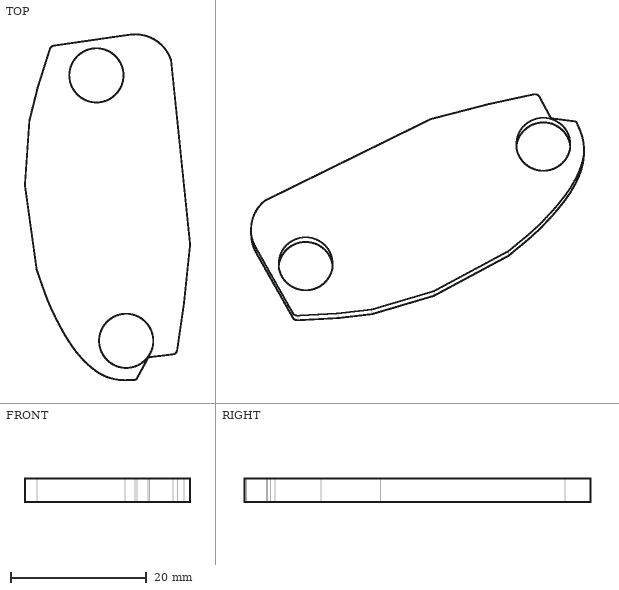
import cadquery as cq

thickness = 3.5
half_length = 25.5
hole_diameter = 7.95
upper_hole = (-1.65, 19.45)
lower_hole = (2.75, -19.7)

shoulder_radius = 0.8
heel_radius = 0.75
toe_radius = 0.4
notch_radius = 0.3

shoulder = (-8.35, 23.8)
crown_start = (3.3, 25.45)
crown_top = (4.25, half_length)
crown_middle = (7.45, 24.4)
crown_end = (9.4, 21.7)
right_bulge = (12.2, -5.5)
right_knee = (11.3, -14.3)
heel = (10.2, -21.65)
notch_corner = (6.0, -22.15)
toe = (4.25, -25.45)
toe_bottom = (2.55, -half_length)
belly_points = [(-2.35, -23.7), (-4.9, -21.0), (-7.55, -16.55)]
left_knee = (-10.45, -9.2)
left_bulge = (-12.2, 3.25)
left_upper = (-11.55, 12.75)
left_neck = (-10.3, 17.65)

belly_start_direction = (-1.0, 0.0)
belly_end_direction = (-0.34, 1.0)


def plate_blank():
    """Extrude the asymmetric outline to the full thickness, centred on Z."""
    return (
        cq.Workplane("XY")
        .workplane(offset=-thickness / 2)
        .moveTo(*shoulder)
        .lineTo(*crown_start)
        .lineTo(*crown_top)
        .threePointArc(crown_middle, crown_end)
        .lineTo(*right_bulge)
        .lineTo(*right_knee)
        .lineTo(*heel)
        .lineTo(*notch_corner)
        .lineTo(*toe)
        .lineTo(*toe_bottom)
        .spline(
            belly_points + [left_knee],
            tangents=[belly_start_direction, belly_end_direction],
            includeCurrent=True,
        )
        .lineTo(*left_bulge)
        .lineTo(*left_upper)
        .lineTo(*left_neck)
        .close()
        .extrude(thickness)
    )


def round_corner(plate, corner, radius):
    """Round the vertical edge nearest to one outline corner."""
    edge = plate.edges("|Z").edges(cq.NearestToPointSelector((*corner, 0)))
    return edge.fillet(radius)


plate = plate_blank()
for corner, radius in (
    (shoulder, shoulder_radius),
    (heel, heel_radius),
    (notch_corner, notch_radius),
    (toe, toe_radius),
):
    plate = round_corner(plate, corner, radius)

hole_cutters = (
    cq.Workplane("XY")
    .pushPoints([upper_hole, lower_hole])
    .circle(hole_diameter / 2)
    .extrude(thickness, both=True)
)
result = plate.cut(hole_cutters)